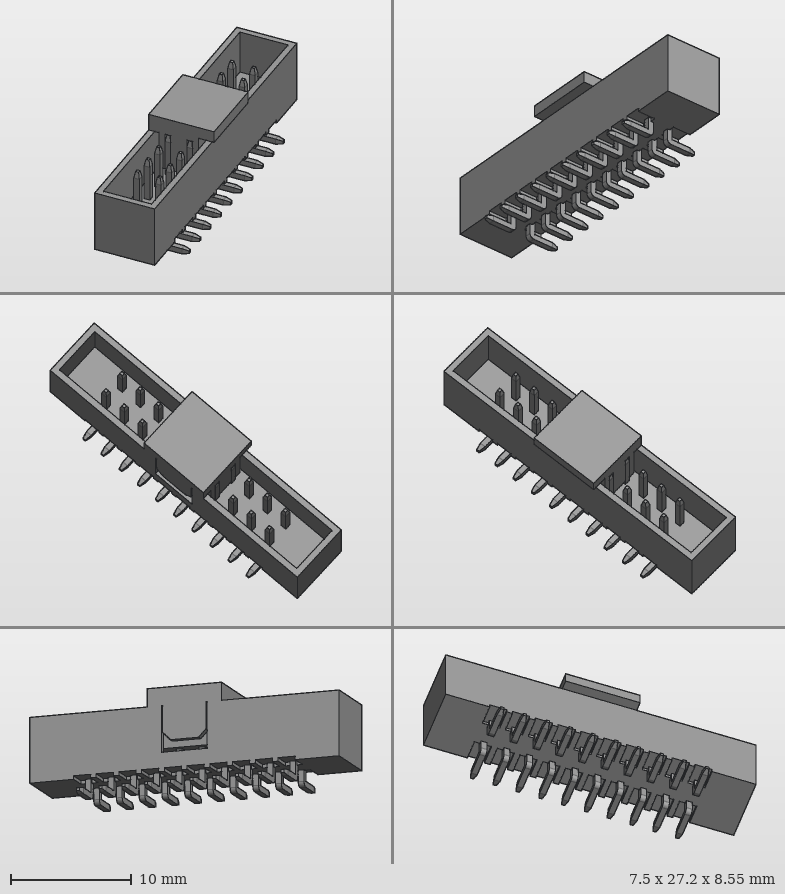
import cadquery as cq

LENGTH = 27.25
HOUSING_WIDTH = 5.5
HOUSING_BOTTOM = 1.4
RIM_Z = 7.0
WALL = 0.55
FLOOR_Z = 3.02

PINS_PER_ROW = 10
ROW_LENGTH = 18.0
PITCH = ROW_LENGTH / (PINS_PER_ROW - 1)
PIN_SIZE = 0.52
PIN_TIP_Z = 6.9
TIP_SIZE = 0.27
TIP_LENGTH = 0.6
FOOT_SPAN = 7.5
BEND_RADIUS = 0.4

NOTCH_WIDTH = 1.5
NOTCH_HEIGHT = 0.3

CAP_WIDTH = 6.55
CAP_TOP = 8.55
CAP_END_X = 3.25
PLATE_BOTTOM = 7.5
BLOCK_THICKNESS = 3.65
BLOCK_BOTTOM = 3.57
PIN_HOLE_LENGTH = 0.57

WINDOW_WIDTH = 4.03
TONGUE_GAP = 0.1
TONGUE_BOTTOM = 4.03
TONGUE_CHAMFER = 0.65

wall_x = HOUSING_WIDTH / 2
row_x = PITCH / 2
pin_ys = [i * PITCH - ROW_LENGTH / 2 for i in range(PINS_PER_ROW)]


def box(x_min, x_max, width, z_min, z_max, y=0.0):
    """Box between the given X and Z limits, centred on y."""
    size = (x_max - x_min, width, z_max - z_min)
    center = ((x_min + x_max) / 2, y, (z_min + z_max) / 2)
    return cq.Workplane("XY").box(*size).translate(center)


def make_housing():
    """Open box with the latch window and the foot notches."""
    housing = box(-wall_x, wall_x, LENGTH, HOUSING_BOTTOM, RIM_Z)
    inner_x = wall_x - WALL
    notch_top = HOUSING_BOTTOM + NOTCH_HEIGHT
    housing = housing.cut(box(-inner_x, inner_x, LENGTH - 2 * WALL, FLOOR_Z, RIM_Z))
    housing = housing.cut(box(-wall_x, -inner_x, WINDOW_WIDTH, FLOOR_Z, RIM_Z))
    for y in pin_ys:
        for x_min, x_max in ((-wall_x, -row_x), (row_x, wall_x)):
            housing = housing.cut(box(x_min, x_max, NOTCH_WIDTH, HOUSING_BOTTOM, notch_top, y))
    return housing


def make_cap():
    """Plate, ledge on the -X rim, hanging block with pin holes, and latch tongue."""
    half_pin = PIN_SIZE / 2
    half_block = BLOCK_THICKNESS / 2
    cap = box(-wall_x, CAP_END_X, CAP_WIDTH, PLATE_BOTTOM, CAP_TOP)
    cap = cap.union(box(-wall_x, half_block, CAP_WIDTH, RIM_Z, PLATE_BOTTOM))
    cap = cap.union(box(-half_block, half_block, CAP_WIDTH, BLOCK_BOTTOM, RIM_Z))
    for x in (-row_x, row_x):
        for y in pin_ys:
            if abs(y) < CAP_WIDTH / 2:
                cap = cap.cut(box(x - half_pin, x + half_pin, PIN_HOLE_LENGTH, BLOCK_BOTTOM, RIM_Z, y))
    tongue = box(-wall_x, WALL - wall_x, WINDOW_WIDTH - 2 * TONGUE_GAP, TONGUE_BOTTOM, RIM_Z)
    tongue = tongue.edges("|X and <Z").chamfer(TONGUE_CHAMFER)
    return cap.union(tongue)


def make_tip(plane):
    """Tapered square end starting on the given plane."""
    return plane.rect(PIN_SIZE, PIN_SIZE).workplane(offset=TIP_LENGTH).rect(TIP_SIZE, TIP_SIZE).loft()


def make_pin():
    """Pin of the +X row at Y = 0."""
    half = PIN_SIZE / 2
    post_top = PIN_TIP_Z - TIP_LENGTH
    foot_end = FOOT_SPAN / 2 - TIP_LENGTH
    post = box(row_x - half, row_x + half, PIN_SIZE, 0, post_top)
    foot = box(row_x - half, foot_end, PIN_SIZE, 0, PIN_SIZE)
    pin = post.union(foot).edges("|Y and <X and <Z").fillet(BEND_RADIUS)
    pin = pin.union(make_tip(cq.Workplane("XY", origin=(row_x, 0, post_top))))
    return pin.union(make_tip(cq.Workplane("YZ", origin=(foot_end, 0, half))))


result = make_housing().union(make_cap())
pin = make_pin()
for y in pin_ys:
    result = result.union(pin.translate((0, y, 0)))
    result = result.union(pin.mirror("YZ").translate((0, y, 0)))